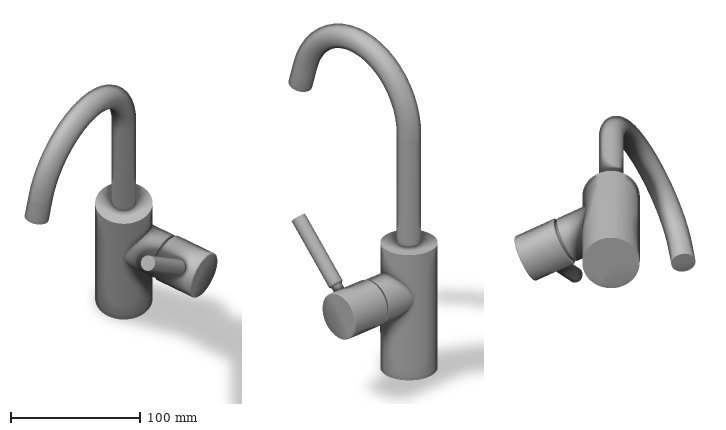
import cadquery as cq
import math

HOUSING_RADIUS = 22.3
HOUSING_HEIGHT = 108.5
BRANCH_RADIUS = 18.2
BRANCH_END_X = 38.3
BRANCH_Z = 70.0
EDGE_BREAK = 0.5

NECK_RADIUS = 16.0
NECK_LENGTH = 1.4
CAP_RADIUS = 19.0
CAP_BOSS_LENGTH = 0.8
CAP_START_X = BRANCH_END_X + NECK_LENGTH + CAP_BOSS_LENGTH
CAP_END_X = 74.7

LEVER_X = 61.5
LEVER_ANGLE = 45.0
LEVER_RADIUS = 6.0
LEVER_START = 22.8
LEVER_END = 84.2
LEVER_CHAMFER = 1.5
PIN_RADIUS = LEVER_RADIUS - LEVER_CHAMFER
PIN_START = 13.5

SPOUT_RADIUS = 9.5
COLLAR_RADIUS = 8.7
COLLAR_HEIGHT = 1.0
BEND_RADIUS = 59.7
TOTAL_HEIGHT = 271.5
BEND_CENTER_Z = TOTAL_HEIGHT - SPOUT_RADIUS - BEND_RADIUS
TIP_ANGLE = 17.0
TIP_LENGTH = 19.5


def x_cylinder(radius, start_x, end_x):
    """Cylinder on the branch axis between two X positions."""
    plane = cq.Plane(origin=(start_x, 0, BRANCH_Z), xDir=(0, 1, 0), normal=(1, 0, 0))
    return cq.Workplane(plane).circle(radius).extrude(end_x - start_x)


def lever_cylinder(radius, start, end):
    """Cylinder on the lever axis, measured outward from the cap axis."""
    angle = math.radians(LEVER_ANGLE)
    direction = cq.Vector(0, -math.cos(angle), math.sin(angle))
    origin = cq.Vector(LEVER_X, 0, BRANCH_Z) + direction * start
    plane = cq.Plane(origin=origin, xDir=(1, 0, 0), normal=direction)
    return cq.Workplane(plane).circle(radius).extrude(end - start)


def make_housing():
    branch = x_cylinder(BRANCH_RADIUS, 0, BRANCH_END_X).faces(">X").chamfer(EDGE_BREAK)
    return cq.Workplane("XY").circle(HOUSING_RADIUS).extrude(HOUSING_HEIGHT).union(branch)


def make_neck():
    return x_cylinder(NECK_RADIUS, BRANCH_END_X, BRANCH_END_X + NECK_LENGTH)


def make_cap(pin):
    boss = x_cylinder(NECK_RADIUS, CAP_START_X - CAP_BOSS_LENGTH, CAP_START_X)
    barrel = x_cylinder(CAP_RADIUS, CAP_START_X, CAP_END_X).faces("<X or >X").edges().chamfer(EDGE_BREAK)
    return barrel.union(boss).cut(pin)


def make_pin():
    return lever_cylinder(PIN_RADIUS, PIN_START, LEVER_START)


def make_lever():
    blank = lever_cylinder(LEVER_RADIUS, LEVER_START, LEVER_END)
    return blank.faces("<(0, -1, 1)").chamfer(LEVER_CHAMFER)


def make_collar():
    return cq.Workplane("XY", origin=(0, 0, HOUSING_HEIGHT)).circle(COLLAR_RADIUS).extrude(COLLAR_HEIGHT)


def make_spout():
    spout_base = HOUSING_HEIGHT + COLLAR_HEIGHT
    tip_sin = math.sin(math.radians(TIP_ANGLE))
    tip_cos = math.cos(math.radians(TIP_ANGLE))
    bend_end = (-BEND_RADIUS * (1 + tip_cos), BEND_CENTER_Z + BEND_RADIUS * tip_sin)
    tip_end = (bend_end[0] - TIP_LENGTH * tip_sin, bend_end[1] - TIP_LENGTH * tip_cos)
    path = (
        cq.Workplane("YZ")
        .moveTo(0, spout_base)
        .lineTo(0, BEND_CENTER_Z)
        .threePointArc((-BEND_RADIUS, BEND_CENTER_Z + BEND_RADIUS), bend_end)
        .lineTo(*tip_end)
    )
    return cq.Workplane("XY", origin=(0, 0, spout_base)).circle(SPOUT_RADIUS).sweep(path)


housing = make_housing()
neck = make_neck()
pin = make_pin()
cap = make_cap(pin)
lever = make_lever()
collar = make_collar()
spout = make_spout()

result = cq.Compound.makeCompound(
    [
        housing.val(),
        neck.val(),
        cap.val(),
        pin.val(),
        lever.val(),
        collar.val(),
        spout.val(),
    ]
)